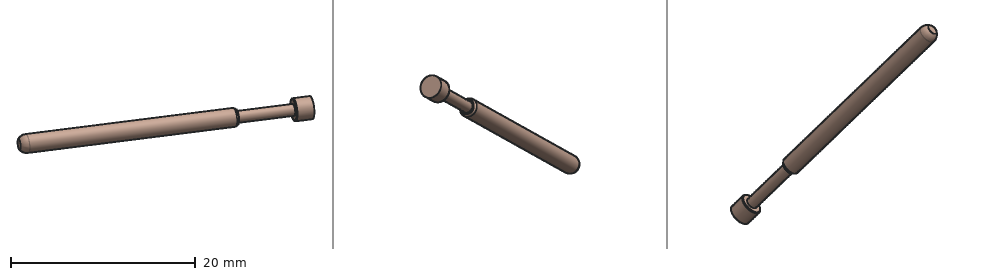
import cadquery as cq
import math

total_length = 33.1

head_diameter = 2.55
head_length = 2.02
head_chamfer = 0.1

stem_diameter = 1.32
stem_length = 6.4

sleeve_diameter = 2.1
sleeve_chamfer_length = 0.3
sleeve_chamfer_depth = 0.2

tail_length = 0.85
tail_flat_diameter = 1.2

head_radius = head_diameter / 2
stem_radius = stem_diameter / 2
sleeve_radius = sleeve_diameter / 2
tail_flat_radius = tail_flat_diameter / 2

head_start = total_length - head_length
sleeve_end = head_start - stem_length

tail_drop = sleeve_radius - tail_flat_radius
tail_arc_radius = (tail_length**2 + tail_drop**2) / (2 * tail_drop)
half_sweep = math.asin(tail_length / tail_arc_radius) / 2
tail_arc_middle = (
    sleeve_radius - tail_arc_radius * (1 - math.cos(half_sweep)),
    tail_length - tail_arc_radius * math.sin(half_sweep),
)

profile = (
    cq.Workplane("XY")
    .lineTo(tail_flat_radius, 0)
    .threePointArc(tail_arc_middle, (sleeve_radius, tail_length))
    .lineTo(sleeve_radius, sleeve_end - sleeve_chamfer_length)
    .lineTo(sleeve_radius - sleeve_chamfer_depth, sleeve_end)
    .lineTo(stem_radius, sleeve_end)
    .lineTo(stem_radius, head_start)
    .lineTo(head_radius - head_chamfer, head_start)
    .lineTo(head_radius, head_start + head_chamfer)
    .lineTo(head_radius, total_length)
    .lineTo(0, total_length)
    .close()
)

result = profile.revolve(360, (0, 0, 0), (0, 1, 0))